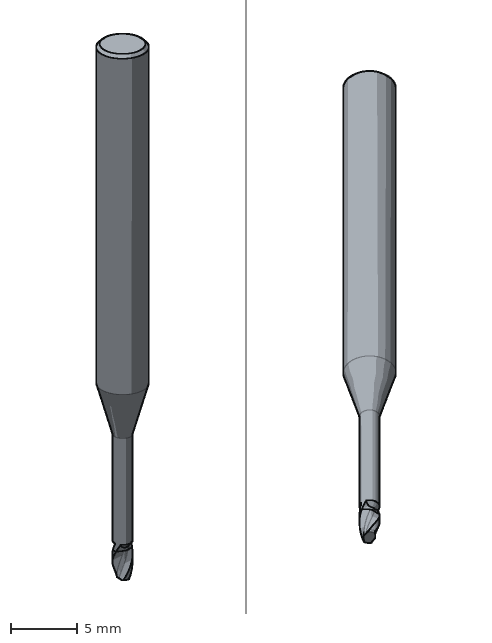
import cadquery as cq
import math

total_length = 45.0
shank_diameter = 4.0
shank_chamfer = 0.25
cone_top = 16.4
neck_top = 12.05
cutter_diameter = 1.55
cutter_length = 2.4

shank_radius = shank_diameter / 2
cutter_radius = cutter_diameter / 2

flute_count = 2
helix_angle = 30.0
first_edge_angle = 15.0
core_radius = 0.45
core_start_angle = 50.0
core_end_angle = 100.0
rake_outer_angle = -9.0
heel_outer_angle = 154.0
flute_outer_radius = 1.0
flute_overrun = 0.45
runout_start = 2.48
runout_end = 3.3
runout_start_radius = 0.3
runout_end_radius = 0.95

corner_radius = 0.15
dish_depth = 0.15


def polar(radius, angle):
    """Point at an angle in degrees about the tool axis."""
    radians = math.radians(angle)
    return (radius * math.cos(radians), radius * math.sin(radians))


def make_flute(edge_angle):
    """Helical flute: rake face, round core, then a flank up to the heel of the next tooth."""
    lead = math.pi * cutter_diameter / math.tan(math.radians(helix_angle))
    height = runout_end + flute_overrun
    twist = 360 * height / lead
    start_angle = edge_angle - 360 * flute_overrun / lead
    core_middle_angle = (core_start_angle + core_end_angle) / 2
    outer_middle_angle = (rake_outer_angle + heel_outer_angle) / 2
    return (
        cq.Workplane("XY", origin=(0, 0, -flute_overrun))
        .moveTo(*polar(flute_outer_radius, start_angle + rake_outer_angle))
        .lineTo(*polar(core_radius, start_angle + core_start_angle))
        .threePointArc(
            polar(core_radius, start_angle + core_middle_angle),
            polar(core_radius, start_angle + core_end_angle),
        )
        .lineTo(*polar(flute_outer_radius, start_angle + heel_outer_angle))
        .threePointArc(
            polar(flute_outer_radius, start_angle + outer_middle_angle),
            polar(flute_outer_radius, start_angle + rake_outer_angle),
        )
        .close()
        .twistExtrude(height, twist)
    )


def make_runout():
    """Cone of material that stays at the upper end of the flutes."""
    return (
        cq.Workplane("XZ")
        .moveTo(0, runout_start)
        .lineTo(runout_start_radius, runout_start)
        .lineTo(runout_end_radius, runout_end)
        .lineTo(0, runout_end)
        .close()
        .revolve(360, (0, 0, 0), (0, 1, 0))
    )


def flutes():
    """One flute per cutting edge, evenly spaced about the axis."""
    return [make_flute(first_edge_angle + index * 360 / flute_count) for index in range(flute_count)]


def make_shank():
    """Shank, cone and neck, with the upper ends of the flutes."""
    blank = (
        cq.Workplane("XZ")
        .moveTo(0, cutter_length)
        .lineTo(cutter_radius, cutter_length)
        .lineTo(cutter_radius, neck_top)
        .lineTo(shank_radius, cone_top)
        .lineTo(shank_radius, total_length - shank_chamfer)
        .lineTo(shank_radius - shank_chamfer, total_length)
        .lineTo(0, total_length)
        .close()
        .revolve(360, (0, 0, 0), (0, 1, 0))
    )
    runout = make_runout()
    for flute in flutes():
        blank = blank.cut(flute.cut(runout))
    return blank


def make_cutter():
    """Fluted cutting tip with rounded corners and a dished end."""
    blank = (
        cq.Workplane("XZ")
        .moveTo(0, dish_depth)
        .lineTo(cutter_radius - corner_radius, 0)
        .radiusArc((cutter_radius, corner_radius), -corner_radius)
        .lineTo(cutter_radius, cutter_length)
        .lineTo(0, cutter_length)
        .close()
        .revolve(360, (0, 0, 0), (0, 1, 0))
    )
    for flute in flutes():
        blank = blank.cut(flute)
    return blank


shank = make_shank()
cutter = make_cutter()

result = cq.Compound.makeCompound([*shank.solids().vals(), *cutter.solids().vals()])